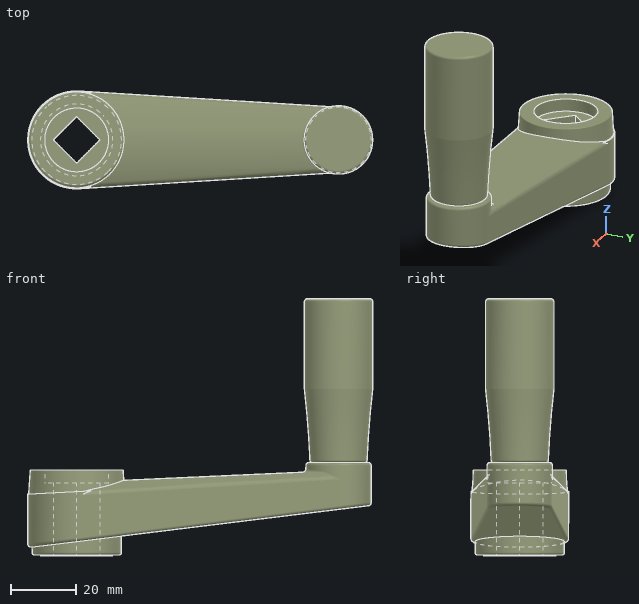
import cadquery as cq
import math

overall_length = 105.5
hub_radius = 15.0
boss_radius = 10.0
handle_radius = 21.0 / 2
axis_distance = overall_length - hub_radius - handle_radius
side_taper = math.asin((hub_radius - boss_radius) / axis_distance)
boss_tangent_x = axis_distance + boss_radius * math.sin(side_taper)

hub_top = 26.4
collar_height = 19.7
collar_slope = 3.0
dome_base = 17.9
dome_base_radius = 14.8
dome_top_radius = 14.2
dome_edge_fillet = 0.3

foot_radius = 27.3 / 2
foot_fillet = 0.7
pad_radius = 22.0 / 2
pad_height = 0.3
counterbore_radius = 19.5 / 2
counterbore_depth = 4.0
square_side = 10.0

underside_height = 4.4
underside_slope = 7.0
crest_height = 22.6
crest_slope = 2.6
crown_radius = 43.3
arm_top_fillet = 2.0
small_fillet = 1.0

boss_top = 28.7
handle_top = 78.7
handle_foot_radius = 8.8
taper_length = 22.4
taper_hollow = 0.2
handle_foot_fillet = 0.5

oversize = 2 * overall_length


def cylinder(radius, bottom, top, x=0.0):
    """Upright cylinder between two heights, with its axis at the given X."""
    return cq.Workplane("XY", origin=(x, 0, bottom)).circle(radius).extrude(top - bottom)


def slope_about_hub(trimmer, slope, height):
    """Tilt a solid so that it rises along +X, then lift it on the hub axis."""
    return trimmer.rotate((0, 0, 0), (0, 1, 0), -slope).translate((0, 0, height))


def space_above(height, slope):
    """Large block above a sloping plane that crosses the hub axis at the given height."""
    block = cq.Workplane("XY").box(oversize, oversize, oversize, centered=(True, True, False))
    return slope_about_hub(block, slope, height)


def make_boss():
    return cylinder(boss_radius, 0, boss_top, axis_distance)


def make_beam():
    """Tapered arm from the hub tangent points to a round end, crowned and rounded on top."""
    hub_x = hub_radius * math.sin(side_taper)
    hub_y = hub_radius * math.cos(side_taper)
    boss_y = boss_radius * math.cos(side_taper)
    plan = [(hub_x, -hub_y), (boss_tangent_x, -boss_y), (boss_tangent_x, boss_y), (hub_x, hub_y)]
    prism = cq.Workplane("XY").polyline(plan).close().extrude(boss_top).union(make_boss())

    crown = (
        cq.Workplane("YZ", origin=(-oversize / 2, 0, -crown_radius))
        .circle(crown_radius)
        .extrude(oversize)
    )
    beam = prism.intersect(slope_about_hub(crown, crest_slope, crest_height))
    return beam.faces(">Z").edges("not <X").fillet(arm_top_fillet)


def add_boss(beam):
    """Join the handle boss to the beam, with a concave fillet where it rises from the crown."""
    root_x = axis_distance - boss_radius
    crest_at_root = crest_height + root_x * math.tan(math.radians(crest_slope))
    root = cq.selectors.NearestToPointSelector((root_x, 0, crest_at_root))
    arm = beam.union(make_boss()).edges(root).fillet(small_fillet)

    beyond_tangents = cq.Workplane("XY", origin=(boss_tangent_x, 0, 0)).box(
        oversize, oversize, oversize, centered=(False, True, True)
    )
    arm = arm.cut(beyond_tangents).union(make_boss())
    return arm.faces(">Z").edges().fillet(small_fillet)


def make_collar():
    return cylinder(hub_radius, 0, hub_top).cut(space_above(collar_height, collar_slope))


def make_dome():
    dome = (
        cq.Workplane("XY", origin=(0, 0, dome_base))
        .circle(dome_base_radius)
        .workplane(offset=hub_top - dome_base)
        .circle(dome_top_radius)
        .loft()
    )
    return dome.faces(">Z").edges().fillet(dome_edge_fillet)


def make_foot():
    foot = cylinder(foot_radius, pad_height, dome_base).faces("<Z").edges().fillet(foot_fillet)
    return foot.union(cylinder(pad_radius, 0, dome_base))


def make_arm():
    arm = add_boss(make_beam()).union(make_collar())
    arm = arm.intersect(space_above(underside_height, underside_slope))
    arm = arm.faces("<Z").edges().fillet(small_fillet)
    arm = arm.union(make_dome()).union(make_foot())

    counterbore = cylinder(counterbore_radius, hub_top - counterbore_depth, hub_top)
    square_hole = cq.Workplane("XY").rect(square_side, square_side).extrude(hub_top)
    square_hole = square_hole.rotate((0, 0, 0), (0, 0, 1), 45)
    return arm.cut(counterbore).cut(square_hole)


def make_handle():
    taper_middle = (
        (handle_radius + handle_foot_radius) / 2 - taper_hollow,
        boss_top + taper_length / 2,
    )
    handle = (
        cq.Workplane("XZ")
        .moveTo(0, boss_top)
        .lineTo(handle_foot_radius, boss_top)
        .threePointArc(taper_middle, (handle_radius, boss_top + taper_length))
        .lineTo(handle_radius, handle_top)
        .lineTo(0, handle_top)
        .close()
        .revolve(360, (0, 0, 0), (0, 1, 0))
        .translate((axis_distance, 0, 0))
    )
    handle = handle.faces(">Z").edges().fillet(small_fillet)
    return handle.faces("<Z").edges().fillet(handle_foot_fillet)


arm = make_arm()
handle = make_handle()
result = cq.Compound.makeCompound([arm.val(), handle.val()])